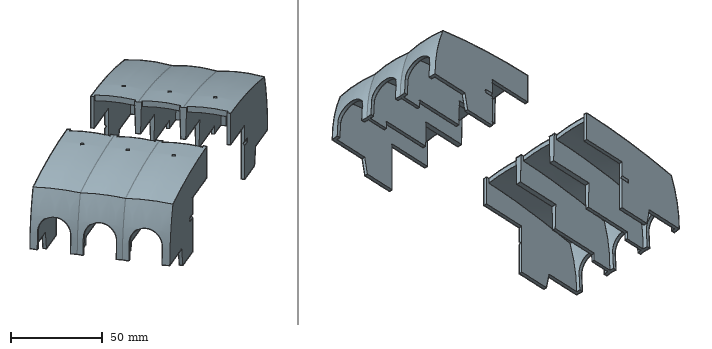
import cadquery as cq

WIDTH = 79.5
HEIGHT = 52.2
OUTER_END = 94.3
INNER_END = 22.6

POLE_PITCH = 26.0
SEAM_X = 12.8
ROOF_CROWN = 1.0
FRONT_CROWN = 0.8

ROOF_RADIUS = 341.3
FRONT_RADIUS = 100.0
ROOF_THICKNESS = 3.4
FRONT_THICKNESS = 2.0
ROOF_SETBACK = 1.9

FRONT_BOTTOM = 10.7
NOTCH_TOP = 32.5
NOTCH_Y = -49.8
LEG_BOTTOM_Y = -68.8
LEG_TOP_Y = -70.9

OUTER_WALL = 2.0
DIVIDER_BOTTOM = 1.7
DIVIDER_TOP = 4.0
DIVIDER_FOOT = 14.5
DIVIDER_RISE = 4.9

ARCH_WIDTH = 18.9
ARCH_TOP = 30.7
ARCH_DEPTH = 13.2
HOLE_DIAMETER = 1.9
HOLE_FROM_END = 17.3

GROOVE_LENGTH = 5.0
GROOVE_HEIGHT = 2.3
GROOVE_DEPTH = 1.0
GROOVE_Z = 21.5

OVERCUT = 1.9

OUTER_FIELD_CENTRE = (WIDTH / 2 + SEAM_X) / 2
OUTER_FIELD_HALF = (WIDTH / 2 - SEAM_X) / 2
ARCH_EDGE_OFFSET = ARCH_WIDTH / 2 + POLE_PITCH - OUTER_FIELD_CENTRE
FRONT_CREST = OUTER_END + FRONT_CROWN * (ARCH_EDGE_OFFSET / OUTER_FIELD_HALF) ** 2

OUTER_FACE = WIDTH / 2 - OUTER_WALL
POLE_CENTRES = [-POLE_PITCH, 0, POLE_PITCH]
FIELDS = [(-WIDTH / 2, -SEAM_X), (-SEAM_X, SEAM_X), (SEAM_X, WIDTH / 2)]


def block(x_range, y_range, z_range):
    """Box between two limits on each axis."""
    sizes = [high - low for low, high in (x_range, y_range, z_range)]
    corner = cq.Vector(x_range[0], y_range[0], z_range[0])
    return cq.Workplane("XY").box(*sizes, centered=False).translate(corner)


def crowned_drum(x_range, centre_y, centre_z, crown_radius, crown):
    """Barrel about an X axis, with a parabolic side that is highest half way along."""
    left, right = x_range
    middle = (left + right) / 2
    edge_radius = crown_radius - crown
    return (
        cq.Workplane("XY")
        .moveTo(left, 0)
        .lineTo(left, edge_radius)
        .bezier([(left, edge_radius), (middle, crown_radius + crown), (right, edge_radius)])
        .lineTo(right, 0)
        .close()
        .revolve(360, (left, 0), (right, 0))
        .translate((0, centre_y, centre_z))
    )


def crowned_field(x_range, roof_inset, front_inset):
    """Space below one field's skin, with roof and front moved inward by the insets."""
    roof_centre_z = HEIGHT - ROOF_RADIUS
    roof_radius = ROOF_RADIUS - roof_inset
    roof = crowned_drum(x_range, -INNER_END, roof_centre_z, roof_radius, ROOF_CROWN)
    front_centre_y = FRONT_RADIUS - FRONT_CREST
    front_radius = FRONT_RADIUS - front_inset
    front = crowned_drum(x_range, front_centre_y, FRONT_BOTTOM, front_radius, FRONT_CROWN)
    bounds = block(x_range, (-FRONT_CREST, -INNER_END), (0, HEIGHT))
    return bounds.intersect(roof).intersect(front)


def envelope():
    """Solid block below the three crowned fields."""
    solid = crowned_field(FIELDS[0], 0, 0)
    for field in FIELDS[1:]:
        solid = solid.union(crowned_field(field, 0, 0))
    return solid


def bay_plug(index):
    """Space between the walls of one pole; dividers thicken toward the roof."""
    bottom_left, bottom_right = -OUTER_FACE, OUTER_FACE
    top_left, top_right = -OUTER_FACE, OUTER_FACE
    if index > 0:
        seam = FIELDS[index][0]
        bottom_left = seam + DIVIDER_BOTTOM / 2
        top_left = seam + DIVIDER_TOP / 2
    if index < len(FIELDS) - 1:
        seam = FIELDS[index][1]
        bottom_right = seam - DIVIDER_BOTTOM / 2
        top_right = seam - DIVIDER_TOP / 2
    outline = [
        (bottom_left, FRONT_BOTTOM),
        (bottom_left, -OVERCUT),
        (bottom_right, -OVERCUT),
        (bottom_right, FRONT_BOTTOM),
        (top_right, HEIGHT),
        (top_left, HEIGHT),
    ]
    return cq.Workplane("XZ").polyline(outline).close().extrude(OUTER_END)


def bay_cavity(index):
    """Hollow below the roof of one pole, open at the bottom and at the inner end."""
    plug = bay_plug(index)
    under_roof = crowned_field(FIELDS[index], ROOF_THICKNESS, FRONT_THICKNESS).intersect(plug)
    setback_range = (-INNER_END - ROOF_SETBACK, -INNER_END + OVERCUT)
    setback = block(FIELDS[index], setback_range, (0, HEIGHT))
    return under_roof.union(setback.intersect(plug))


def space_ahead_of_legs():
    """Room below the front, bounded by the sloping front edges of the legs."""
    outline = [
        (-OUTER_END - OVERCUT, FRONT_BOTTOM),
        (LEG_TOP_Y, FRONT_BOTTOM),
        (LEG_BOTTOM_Y, 0),
        (LEG_BOTTOM_Y, -OVERCUT),
        (-OUTER_END - OVERCUT, -OVERCUT),
    ]
    return cq.Workplane("YZ").polyline(outline).close().extrude(WIDTH, both=True)


def space_behind_legs():
    """Room below the open end, behind the legs."""
    return block((-WIDTH, WIDTH), (NOTCH_Y, 0), (-OVERCUT, NOTCH_TOP))


def space_below_dividers():
    """Clears the dividers between the legs, leaving a foot behind the front."""
    step_z = FRONT_BOTTOM + DIVIDER_RISE
    foot_y = -OUTER_END + DIVIDER_FOOT
    between_walls = (-OUTER_FACE, OUTER_FACE)
    behind_foot = block(between_walls, (foot_y, NOTCH_Y), (-OVERCUT, step_z))
    below_foot = block(between_walls, (-OUTER_END, foot_y), (-OVERCUT, FRONT_BOTTOM))
    return behind_foot.union(below_foot)


def cable_arches():
    """Round-topped openings through the front."""
    radius = ARCH_WIDTH / 2
    spring_z = ARCH_TOP - radius
    arch = (
        cq.Workplane("XZ", origin=(0, -FRONT_CREST + ARCH_DEPTH, 0))
        .moveTo(-radius, 0)
        .lineTo(-radius, spring_z)
        .threePointArc((0, ARCH_TOP), (radius, spring_z))
        .lineTo(radius, 0)
        .close()
        .extrude(ARCH_DEPTH)
    )
    arches = arch.translate((POLE_CENTRES[0], 0, 0))
    for x in POLE_CENTRES[1:]:
        arches = arches.union(arch.translate((x, 0, 0)))
    return arches


def roof_holes():
    """Small vertical hole above each pole."""
    return (
        cq.Workplane("XY")
        .pushPoints([(x, -INNER_END - HOLE_FROM_END) for x in POLE_CENTRES])
        .circle(HOLE_DIAMETER / 2)
        .extrude(HEIGHT)
    )


def leg_groove():
    """V groove running in from the inner edge of the leg on the -X side."""
    return (
        cq.Workplane("XZ", origin=(-WIDTH / 2, NOTCH_Y, GROOVE_Z))
        .moveTo(0, -GROOVE_HEIGHT / 2)
        .lineTo(GROOVE_DEPTH, 0)
        .lineTo(0, GROOVE_HEIGHT / 2)
        .close()
        .extrude(GROOVE_LENGTH)
    )


def make_cover():
    """Terminal cover on the -Y side."""
    cover = envelope()
    for index in range(len(FIELDS)):
        cover = cover.cut(bay_cavity(index))
    cover = cover.cut(space_ahead_of_legs()).cut(space_behind_legs()).cut(space_below_dividers())
    cover = cover.cut(cable_arches()).cut(roof_holes())
    groove = leg_groove()
    return cover.cut(groove).cut(groove.mirror("YZ"))


front_cover = make_cover()
rear_cover = front_cover.mirror("XZ")

result = cq.Compound.makeCompound([front_cover.val(), rear_cover.val()])